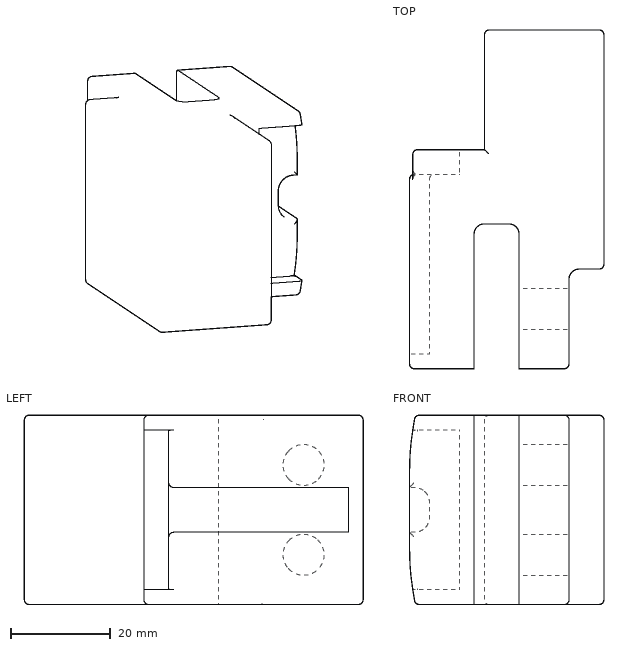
import cadquery as cq
import math

WIDTH = 39.0
LENGTH = 68.0
HEIGHT = 38.0
EDGE_RADIUS = 1.0

REAR_STEP_X = 15.0
REAR_STEP_Y = 44.0
FRONT_STEP_X = 32.0
FRONT_STEP_Y = 20.0
STEP_CORNER_RADIUS = 2.0

SLOT_LEFT_X = 13.0
SLOT_WIDTH = 9.0
SLOT_DEPTH = 29.05
SLOT_CORNER_RADIUS = 2.0

CROWN_RADIUS = 50.0
CROWN_FLAT = 16.0
LEDGE_THICKNESS = 3.0

POCKET_LENGTH = 4.95
POCKET_FRONT_Y = REAR_STEP_Y - POCKET_LENGTH
POCKET_DEPTH = 10.0

GROOVE_FRONT_Y = 3.0
GROOVE_WIDTH = 9.0
GROOVE_DEPTH = 4.0
GROOVE_RADIUS = 3.0

HOLE_DIAMETER = 8.2
HOLE_Y = 12.0
HOLE_SPACING = 18.0

MID_Z = HEIGHT / 2


def crowned_body():
    """Stepped plan extruded upward, with its left face cut to the crown."""
    body = (
        cq.Workplane("XY")
        .polyline([
            (0, 0),
            (FRONT_STEP_X, 0),
            (FRONT_STEP_X, FRONT_STEP_Y),
            (WIDTH, FRONT_STEP_Y),
            (WIDTH, LENGTH),
            (REAR_STEP_X, LENGTH),
            (REAR_STEP_X, REAR_STEP_Y),
            (0, REAR_STEP_Y),
        ])
        .close()
        .extrude(HEIGHT)
    )

    arc_end = MID_Z - LEDGE_THICKNESS
    arc_start = CROWN_FLAT / 2
    sweep = math.asin((arc_end - arc_start) / CROWN_RADIUS)

    def arc_point(angle, side):
        """Point on the upper (side 1) or lower (side -1) arc, by angle turned from the flat."""
        x = CROWN_RADIUS * (1 - math.cos(angle))
        return x, MID_Z + side * (arc_start + CROWN_RADIUS * math.sin(angle))

    slope_x = arc_point(sweep, 1)[0] + LEDGE_THICKNESS * math.tan(sweep)
    profile = (
        cq.Workplane("XZ")
        .moveTo(slope_x, 0)
        .lineTo(*arc_point(sweep, -1))
        .threePointArc(arc_point(sweep / 2, -1), arc_point(0, -1))
        .lineTo(*arc_point(0, 1))
        .threePointArc(arc_point(sweep / 2, 1), arc_point(sweep, 1))
        .lineTo(slope_x, HEIGHT)
        .lineTo(WIDTH, HEIGHT)
        .lineTo(WIDTH, 0)
        .close()
        .extrude(-LENGTH)
    )
    return body.intersect(profile)


def upright_zone(x, y):
    """Selector for the full-height edges standing at plan position (x, y)."""
    return cq.selectors.BoxSelector(
        (x - EDGE_RADIUS, y - EDGE_RADIUS, 0),
        (x + EDGE_RADIUS, y + EDGE_RADIUS, HEIGHT),
    )


def round_outer_edges(body):
    """Round the outside edges, then blend the inside corner of the right shoulder."""
    rear_corner = upright_zone(REAR_STEP_X, REAR_STEP_Y)
    front_corner = upright_zone(FRONT_STEP_X, FRONT_STEP_Y)
    crown_seams = cq.selectors.BoxSelector(
        (-EDGE_RADIUS, EDGE_RADIUS, EDGE_RADIUS),
        (REAR_STEP_X, REAR_STEP_Y - EDGE_RADIUS, HEIGHT - EDGE_RADIUS),
    )
    kept_sharp = body.edges(rear_corner + front_corner + crown_seams).vals()
    outside = [
        edge
        for edge in body.edges().vals()
        if not any(edge.isSame(sharp_edge) for sharp_edge in kept_sharp)
    ]
    rounded = body.newObject(outside).fillet(EDGE_RADIUS)
    return rounded.edges(front_corner).edges("|Z").fillet(STEP_CORNER_RADIUS)


def ledge_pocket():
    """Block removed behind the crowned face, between the two ledges."""
    return (
        cq.Workplane("XY")
        .box(
            POCKET_DEPTH,
            POCKET_LENGTH,
            HEIGHT - 2 * LEDGE_THICKNESS,
            centered=False,
        )
        .translate((0, POCKET_FRONT_Y, LEDGE_THICKNESS))
    )


def crown_groove():
    """Groove with rounded bottom corners, running back into the pocket."""
    return (
        cq.Workplane("XY")
        .box(
            GROOVE_DEPTH,
            POCKET_FRONT_Y - GROOVE_FRONT_Y,
            GROOVE_WIDTH,
            centered=False,
        )
        .edges("|Y and >X")
        .fillet(GROOVE_RADIUS)
        .translate((0, GROOVE_FRONT_Y, MID_Z - GROOVE_WIDTH / 2))
    )


def round_crown_end(body):
    """Round the rear end of the crowned face, following the mouth of the groove."""
    end_edges = cq.selectors.BoxSelector(
        (-EDGE_RADIUS, POCKET_FRONT_Y - EDGE_RADIUS, LEDGE_THICKNESS + EDGE_RADIUS),
        (GROOVE_DEPTH + EDGE_RADIUS, POCKET_FRONT_Y + EDGE_RADIUS, HEIGHT - LEDGE_THICKNESS - EDGE_RADIUS),
    )
    return body.edges(end_edges).fillet(EDGE_RADIUS)


def arm_slot():
    """Full-height slot, open at the front, with rounded inner corners."""
    return (
        cq.Workplane("XY")
        .box(SLOT_WIDTH, SLOT_DEPTH, HEIGHT, centered=False)
        .edges("|Z and >Y")
        .fillet(SLOT_CORNER_RADIUS)
        .translate((SLOT_LEFT_X, 0, 0))
    )


def cross_holes():
    """Two holes, one above the other, from the slot through the right arm."""
    return (
        cq.Workplane("YZ", origin=(SLOT_LEFT_X + SLOT_WIDTH / 2, 0, 0))
        .pushPoints([(HOLE_Y, MID_Z + side * HOLE_SPACING / 2) for side in (-1, 1)])
        .circle(HOLE_DIAMETER / 2)
        .extrude(WIDTH)
    )


body = round_outer_edges(crowned_body())
body = body.cut(ledge_pocket()).cut(crown_groove())
body = round_crown_end(body)
result = body.cut(arm_slot()).cut(cross_holes())